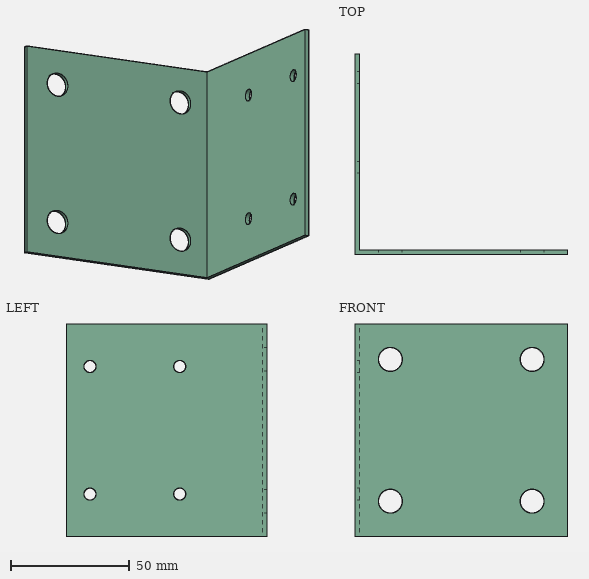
import cadquery as cq

width = 90.0
depth = 85.0
height = 90.0
thickness = 2.0

front_hole_diameter = 10.0
front_hole_spacing = 60.0

side_hole_diameter = 5.0
side_hole_edge_distance = 10.0
side_hole_spacing_y = 38.0
side_hole_spacing_z = 54.0


def make_angle():
    """L-shaped profile with its outer corner at the origin, extruded upwards."""
    return (
        cq.Workplane("XY")
        .polyline(
            [
                (0, 0),
                (width, 0),
                (width, thickness),
                (thickness, thickness),
                (thickness, depth),
                (0, depth),
            ]
        )
        .close()
        .extrude(height)
    )


def make_front_holes():
    """Cylinders along Y that pass through the front plate."""
    return (
        cq.Workplane("XZ", origin=(width / 2, 0, height / 2))
        .rarray(front_hole_spacing, front_hole_spacing, 2, 2)
        .circle(front_hole_diameter / 2)
        .extrude(-thickness)
    )


def make_side_holes():
    """Cylinders along X that pass through the side plate."""
    pattern_center_y = depth - side_hole_edge_distance - side_hole_spacing_y / 2
    return (
        cq.Workplane("YZ", origin=(0, pattern_center_y, height / 2))
        .rarray(side_hole_spacing_y, side_hole_spacing_z, 2, 2)
        .circle(side_hole_diameter / 2)
        .extrude(thickness)
    )


result = make_angle().cut(make_front_holes()).cut(make_side_holes())